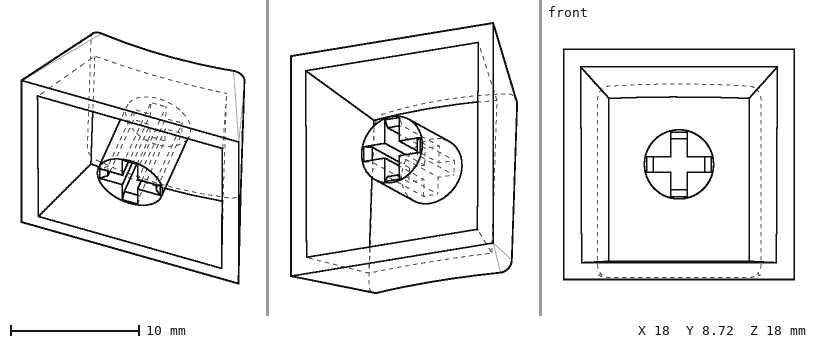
import cadquery as cq
import math

base_side = 18.0
crown_width = 12.75
crown_top = 6.07
crown_bottom = -8.8
crown_corner_radius = 0.97
crown_height = 8.37
crown_tilt = 3.8
dish_sag = 0.68
sharp_corner_radius = 0.004

mouth_top = 7.6
mouth_bottom = -7.67
mouth_top_width = 15.34
mouth_bottom_width = 15.2
ceiling_width = 10.93
ceiling_top = 5.15
ceiling_bottom = -7.56
ceiling_height = 6.7
ceiling_sag = 0.32

stem_diameter = 5.4
slot_width_x = 1.26
slot_width_z = 1.2
slot_length = 4.0
slot_mouth_length = 5.04
slot_lead_depth = 0.45

slope = math.tan(math.radians(crown_tilt))


def tilted_plane(height):
    """Plane parallel to the crown; its local axes are world X and nearly world Z."""
    normal = (0, -1, slope)
    return cq.Plane(origin=(0, height, 0), xDir=(1, 0, 0), normal=normal)


def outline(plane, bottom, top, bottom_width, top_width, corner_radius):
    """Four-sided wire with rounded corners; bottom and top are world Z levels."""
    stretch = 1 / plane.yDir.z
    low = bottom * stretch
    high = top * stretch
    corners = [
        (-bottom_width / 2, low),
        (bottom_width / 2, low),
        (top_width / 2, high),
        (-top_width / 2, high),
    ]
    wire = cq.Workplane(plane).polyline(corners).close().val()
    if corner_radius:
        wire = wire.fillet2D(corner_radius, wire.Vertices())
    return wire


def dish(height, width, sag):
    """Cylinder lying along the tilted plane, meeting it at x = +/- width / 2."""
    radius = (width ** 2 / 4 + sag ** 2) / (2 * sag)
    along = cq.Vector(0, slope, 1).normalized()
    outward = cq.Vector(0, 1, -slope).normalized()
    middle = cq.Vector(0, height, 0) + outward * (radius - sag)
    start = middle - along * base_side
    return cq.Workplane(obj=cq.Solid.makeCylinder(radius, 2 * base_side, start, along))


def loft(first, second):
    return cq.Workplane(obj=cq.Solid.makeLoft([first, second], True))


def make_body():
    half = base_side / 2
    base = outline(cq.Plane.XZ(), -half, half, base_side, base_side, sharp_corner_radius)
    crown = outline(
        tilted_plane(crown_height), crown_bottom, crown_top, crown_width, crown_width, crown_corner_radius
    )
    return loft(base, crown).cut(dish(crown_height, crown_width, dish_sag))


def make_cavity():
    mouth = outline(cq.Plane.XZ(), mouth_bottom, mouth_top, mouth_bottom_width, mouth_top_width, 0)
    ceiling = outline(
        tilted_plane(ceiling_height), ceiling_bottom, ceiling_top, ceiling_width, ceiling_width, 0
    )
    return loft(mouth, ceiling).cut(dish(ceiling_height, ceiling_width, ceiling_sag))


def make_slot_arm(width, angle):
    """Slot along X with a sloping lead-in at both ends, turned about the stem axis."""
    profile = [
        (-slot_mouth_length / 2, 0),
        (slot_mouth_length / 2, 0),
        (slot_length / 2, slot_lead_depth),
        (slot_length / 2, ceiling_height),
        (-slot_length / 2, ceiling_height),
        (-slot_length / 2, slot_lead_depth),
    ]
    arm = cq.Workplane("XY").polyline(profile).close().extrude(width / 2, both=True)
    return arm.rotate((0, 0, 0), (0, 1, 0), angle)


stem = cq.Workplane("XZ").circle(stem_diameter / 2).extrude(-ceiling_height)
slots = make_slot_arm(slot_width_z, 0).union(make_slot_arm(slot_width_x, 90))

cavity = make_cavity()
result = make_body().cut(cavity.cut(stem)).cut(slots.intersect(cavity))